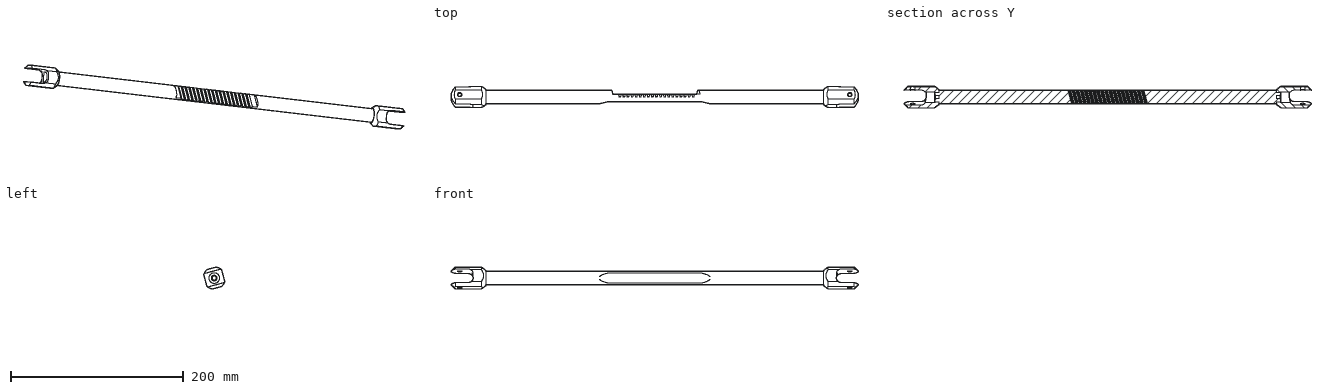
import cadquery as cq
import math

total_length = 472.0

fork_turn = 15.0
fork_length = 40.0
fork_diameter = 26.0
fork_width = 21.5
fork_height = 23.5
tip_chamfer = 4.5
shoulder_length = 5.0
shoulder_diameter = 18.0
slot_width = 16.0
slot_depth = 25.5
slot_corner_radius = 5.5
pin_hole_diameter = 4.5
pin_hole_setback = 10.0

rod_diameter = 16.0
stud_diameter = 12.5
stud_length = 4.5
centre_hole_diameter = 4.5
centre_hole_depth = 4.5
countersink_diameter = 6.5

front_flat_length = 109.5
front_flat_depth = 2.5
front_ramp_length = 10.0

recess_length = 101.0
recess_depth = 4.5
rack_pitch = 4.5
rack_space_count = 19
pressure_angle = 20.0
rack_lean = 15.0

rod_radius = rod_diameter / 2
fork_radius = fork_diameter / 2
fork_tip = -total_length / 2
fork_back = fork_tip + fork_length
stud_end = fork_back - stud_length
cut_height = 2 * rod_diameter


def make_fork():
    """Fork at the -X end of the rod, with its slot open toward -X."""
    head = (
        cq.Workplane("XY")
        .moveTo(fork_tip, 0)
        .lineTo(fork_tip, fork_radius - tip_chamfer)
        .lineTo(fork_tip + tip_chamfer, fork_radius)
        .lineTo(fork_back - shoulder_length, fork_radius)
        .lineTo(fork_back, shoulder_diameter / 2)
        .lineTo(fork_back, 0)
        .close()
        .revolve(360, (0, 0, 0), (1, 0, 0))
    )
    flats = cq.Workplane("XY").box(2 * total_length, fork_width, fork_height)
    slot = (
        cq.Workplane("XY")
        .box(2 * slot_depth, 2 * fork_diameter, slot_width)
        .edges("|Y and >X")
        .fillet(slot_corner_radius)
        .translate((fork_tip, 0, 0))
    )
    pin_hole = (
        cq.Workplane("XY")
        .center(fork_tip + pin_hole_setback, 0)
        .circle(pin_hole_diameter / 2)
        .extrude(fork_diameter, both=True)
    )
    bore = cq.Workplane("YZ").workplane(offset=fork_tip).circle(stud_diameter / 2).extrude(fork_length)
    fork = head.intersect(flats).cut(slot).cut(pin_hole).cut(bore)
    return fork.rotate((0, 0, 0), (1, 0, 0), -fork_turn)


def make_rod_blank():
    """Round rod with a thinner stud and a countersunk centre hole at each end."""
    stud_radius = stud_diameter / 2
    hole_radius = centre_hole_diameter / 2
    countersink_radius = countersink_diameter / 2
    hole_floor = stud_end + centre_hole_depth
    half = (
        cq.Workplane("XY")
        .moveTo(0, 0)
        .lineTo(hole_floor, 0)
        .lineTo(hole_floor, hole_radius)
        .lineTo(stud_end + countersink_radius - hole_radius, hole_radius)
        .lineTo(stud_end, countersink_radius)
        .lineTo(stud_end, stud_radius)
        .lineTo(fork_back, stud_radius)
        .lineTo(fork_back, rod_radius)
        .lineTo(0, rod_radius)
        .close()
        .revolve(360, (0, 0, 0), (1, 0, 0))
    )
    return half.union(half.mirror("YZ"))


def make_front_flat():
    """Shallow cut on the -Y side that runs out in a slope at each end."""
    floor_x = front_flat_length / 2
    floor_y = front_flat_depth - rod_radius
    slope = front_flat_depth / front_ramp_length
    outer_x = floor_x + (front_flat_depth + rod_radius) / slope
    outer_y = -2 * rod_radius
    return (
        cq.Workplane("XY")
        .polyline([(-outer_x, outer_y), (-floor_x, floor_y), (floor_x, floor_y), (outer_x, outer_y)])
        .close()
        .extrude(cut_height / 2, both=True)
    )


def leaning_prism(points):
    """Solid with the given XY outline at Z = 0, leaning from Z toward +X."""
    lean = cut_height / 2 * math.tan(math.radians(rack_lean))
    bottom = [(x - lean, y) for x, y in points]
    top = [(x + lean, y) for x, y in points]
    return (
        cq.Workplane("XY", origin=(0, 0, -cut_height / 2))
        .polyline(bottom)
        .close()
        .workplane(offset=cut_height)
        .polyline(top)
        .close()
        .loft(ruled=True)
    )


def cut_rack(rod):
    """Recess on the +Y side whose floor carries leaning rack teeth."""
    tip_y = rod_radius - recess_depth
    module = rack_pitch / math.pi
    addendum = module
    dedendum = 1.25 * module
    root_y = tip_y - addendum - dedendum
    flank_slope = math.tan(math.radians(pressure_angle))
    mouth_half = rack_pitch / 4 + addendum * flank_slope
    root_half = rack_pitch / 4 - dedendum * flank_slope
    end_x = recess_length / 2
    outer_y = 2 * rod_radius
    rod = rod.cut(leaning_prism([(-end_x, tip_y), (end_x, tip_y), (end_x, outer_y), (-end_x, outer_y)]))
    for i in range(rack_space_count):
        x = (i - (rack_space_count - 1) / 2) * rack_pitch
        rod = rod.cut(leaning_prism([
            (x - mouth_half, tip_y),
            (x - root_half, root_y),
            (x + root_half, root_y),
            (x + mouth_half, tip_y),
        ]))
    return rod


rod = cut_rack(make_rod_blank().cut(make_front_flat()))
fork = make_fork()

result = cq.Compound.makeCompound([rod.val(), fork.val(), fork.mirror("YZ").val()])